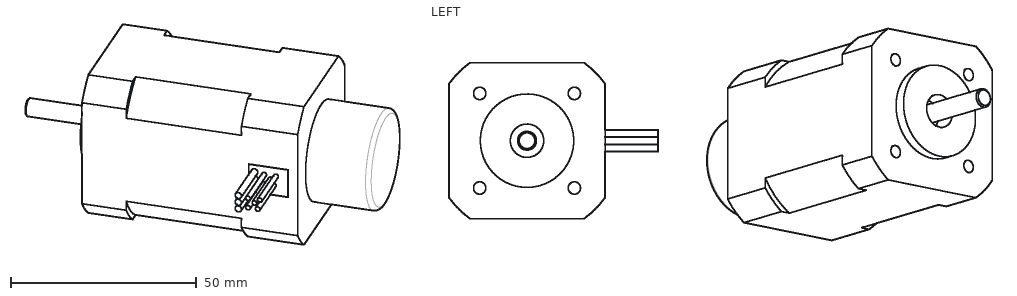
import cadquery as cq
import math

TOTAL_LENGTH = 101.0
BODY_WIDTH = 42.0
BODY_START = 22.0
BODY_END = 82.9
CORNER_FLAT = 30.7
CORNER_RADIUS = math.hypot(BODY_WIDTH, CORNER_FLAT) / 2

WAIST_START = 34.5
WAIST_END = 67.1
WAIST_FLAT = 25.2
WAIST_RADIUS = math.hypot(BODY_WIDTH, WAIST_FLAT) / 2

BOSS_DIAMETER = 25.1
BOSS_START = 18.9
BORE_DIAMETER = 9.0
BORE_DEPTH = 6.1
SHAFT_DIAMETER = 5.0
SHAFT_CHAMFER = 0.4

HOLE_DIAMETER = 3.3
HOLE_SPACING = 25.5
HOLE_DEPTH = 4.5
DRILL_POINT_ANGLE = 118.0

CAN_DIAMETER = 28.0
CAN_FILLET = 1.2

OUTLET_LENGTH = 11.1
OUTLET_HEIGHT = 8.3
OUTLET_DEPTH = 0.2
OUTLET_X = 74.6

WIRE_REACH = 14.2
POWER_WIRE_DIAMETER = 1.8
POWER_WIRE_X = 70.7
POWER_WIRE_PITCH = 2.0
SIGNAL_WIRE_DIAMETER = 1.3
SIGNAL_WIRE_PLACES = [(73.4, 1.6), (76.8, 1.6), (75.2, 0.5), (73.4, -1.2), (76.2, -1.2)]

SIDE_Y = -BODY_WIDTH / 2


def cylinder_x(diameter, start, end):
    """Cylinder on the X axis between two X positions."""
    return cq.Workplane("YZ", origin=(start, 0, 0)).circle(diameter / 2).extrude(end - start)


def rounded_square_x(corner_radius, start, end):
    """Square bar along X whose corners lie on a cylinder about the X axis."""
    bar = cq.Workplane("YZ", origin=(start, 0, 0)).rect(BODY_WIDTH, BODY_WIDTH).extrude(end - start)
    return bar.intersect(cylinder_x(2 * corner_radius, start, end))


def make_body():
    front = rounded_square_x(CORNER_RADIUS, BODY_START, WAIST_START)
    waist = rounded_square_x(WAIST_RADIUS, WAIST_START, WAIST_END)
    rear = rounded_square_x(CORNER_RADIUS, WAIST_END, BODY_END)
    return front.union(waist).union(rear)


def make_mounting_holes():
    """Drill shapes, turned about their own axes and copied to the four corners."""
    radius = HOLE_DIAMETER / 2
    point_length = radius / math.tan(math.radians(DRILL_POINT_ANGLE / 2))
    drill = (
        cq.Workplane("XY")
        .polyline([(0, 0), (0, radius), (HOLE_DEPTH, radius), (HOLE_DEPTH + point_length, 0)])
        .close()
        .revolve(360, (0, 0, 0), (1, 0, 0))
    )
    holes = cq.Workplane("XY")
    for y_side in (-1, 1):
        for z_side in (-1, 1):
            place = (BODY_START, y_side * HOLE_SPACING / 2, z_side * HOLE_SPACING / 2)
            holes = holes.add(drill.translate(place))
    return holes.combine()


def make_outlet_pocket():
    return (
        cq.Workplane("XY")
        .box(OUTLET_LENGTH, OUTLET_DEPTH, OUTLET_HEIGHT)
        .translate((OUTLET_X, SIDE_Y + OUTLET_DEPTH / 2, 0))
    )


def make_motor():
    """Body, boss, shaft and encoder can as one solid."""
    boss = cylinder_x(BOSS_DIAMETER, BOSS_START, BODY_START)
    bore = cylinder_x(BORE_DIAMETER, BOSS_START, BOSS_START + BORE_DEPTH)
    shaft = cylinder_x(SHAFT_DIAMETER, 0, BOSS_START + BORE_DEPTH).faces("<X").chamfer(SHAFT_CHAMFER)
    can = cylinder_x(CAN_DIAMETER, BODY_END, TOTAL_LENGTH).faces(">X").edges().fillet(CAN_FILLET)
    housing = make_body().union(boss).union(can).cut(bore)
    return housing.union(shaft).cut(make_mounting_holes()).cut(make_outlet_pocket())


def make_wire(diameter, x, z):
    """Straight wire from the pocket floor out along -Y."""
    floor_y = SIDE_Y + OUTLET_DEPTH
    return (
        cq.Workplane("XZ", origin=(x, floor_y, z))
        .circle(diameter / 2)
        .extrude(WIRE_REACH + OUTLET_DEPTH)
    )


motor = make_motor()

power_wires = []
for row in (-1, 0, 1):
    power_wires.append(make_wire(POWER_WIRE_DIAMETER, POWER_WIRE_X, row * POWER_WIRE_PITCH).val())

signal_wires = []
for wire_x, wire_z in SIGNAL_WIRE_PLACES:
    signal_wires.append(make_wire(SIGNAL_WIRE_DIAMETER, wire_x, wire_z).val())

result = cq.Compound.makeCompound([motor.val(), *power_wires, *signal_wires])